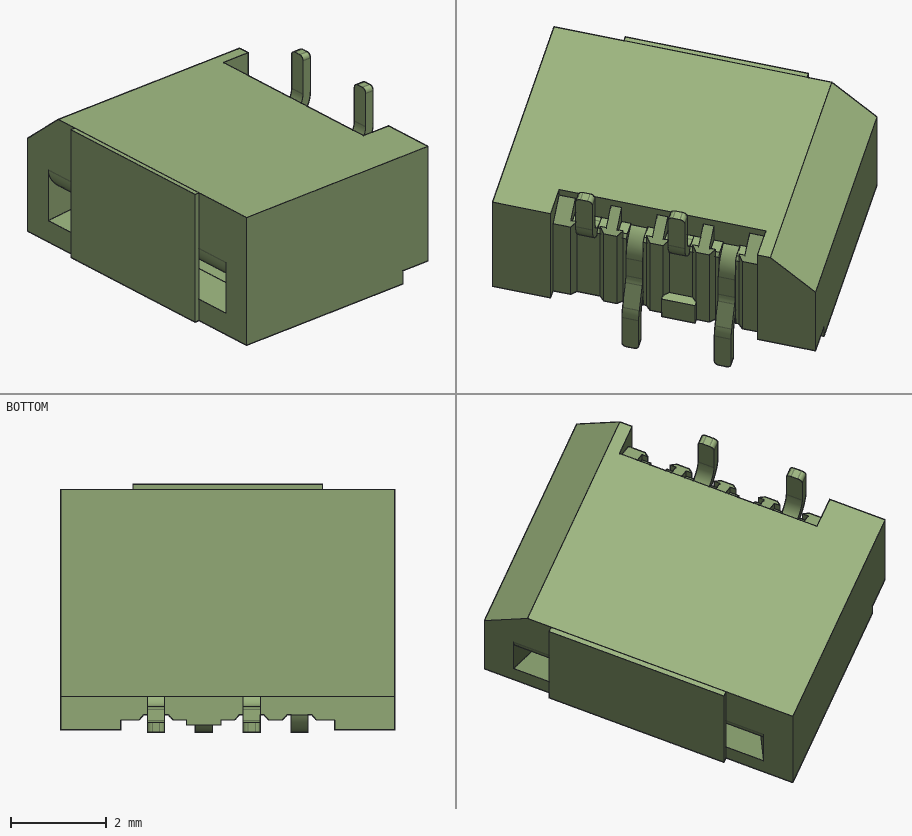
import cadquery as cq
import math


housing_width = 7.0
housing_depth = 5.03
housing_height = 3.0
corner_cut_width = 0.98
corner_cut_height = 0.82

rear_step_depth = 0.69
under_step_height = 0.31
recess_width = 4.48
recess_front_y = housing_depth - rear_step_depth
rear_wall_inset = 0.2
rear_wall_y = housing_depth - rear_wall_inset
ramp_angle = 37.0
ramp_low_z = 2.46
ramp_high_z = ramp_low_z + (rear_wall_y - recess_front_y) * math.tan(math.radians(ramp_angle))

pocket_width = 0.77
pocket_floor_z = 2.38
pocket_chamfer = 0.08
groove_mouth_width = 0.715
groove_root_width = 0.505
groove_depth = 0.11
groove_root_y = rear_wall_y - groove_depth

tab_width = 0.73
tab_protrusion = 0.105
tab_height = 0.56
tab_rear_y = rear_wall_y + tab_protrusion
tab_top_z = under_step_height + tab_height

slot_mouth_width = 5.67
slot_inner_width = 5.03
slot_mouth_bottom_z = 0.505
slot_inner_bottom_z = 0.79
slot_inner_top_z = 1.2
slot_lip_radius = 0.5
slot_flare_depth = 0.56
slot_depth = 3.01

cover_width = 3.97
cover_thickness = 0.11

pitch = 1.0
terminal_width = 0.365
terminal_thickness = 0.21
terminal_overhang = 0.055
foot_length = 0.7
tip_radius = 0.105
inner_bend_radius = 0.435
bend_radius = inner_bend_radius + terminal_thickness / 2
lead_start_y = 3.36
lead_z = pocket_floor_z - terminal_thickness / 2
foot_y = housing_depth + terminal_overhang - terminal_thickness / 2

drop_y = 4.655
joggle_angle = math.radians(24.0)
joggle_end_z = 0.21

lower_terminal_xs = [-1.5 * pitch, 0.5 * pitch]
upper_terminal_xs = [-0.5 * pitch, 1.5 * pitch]
tab_x = upper_terminal_xs[0]


def box(x, width, y_range, z_range):
    """Block centred on x, between the given Y and Z limits."""
    y0, y1 = y_range
    z0, z1 = z_range
    corner = cq.Vector(x - width / 2, y0, z0)
    return cq.Workplane(cq.Solid.makeBox(width, y1 - y0, z1 - z0, corner))


def side_prism(profile, x, width):
    """Extrude a closed YZ profile to a width centred on x."""
    return profile.extrude(width / 2, both=True).translate((x, 0, 0))


def strip(path, x):
    """Sweep the terminal's rectangular section along a YZ path that starts along +Y."""
    section = cq.Workplane("XZ", origin=(0, lead_start_y, lead_z)).rect(terminal_width, terminal_thickness)
    return section.sweep(path).translate((x, 0, 0))


def upper_terminal(x):
    """Straight lead, one quarter bend and a foot that points up."""
    bend_start_y = foot_y - bend_radius
    mid = bend_radius * math.sqrt(0.5)
    path = (
        cq.Workplane("YZ")
        .moveTo(lead_start_y, lead_z)
        .lineTo(bend_start_y, lead_z)
        .threePointArc(
            (bend_start_y + mid, lead_z + bend_radius - mid),
            (foot_y, lead_z + bend_radius),
        )
        .lineTo(foot_y, housing_height + foot_length)
    )
    return strip(path, x).faces(">Z").edges("|Y").fillet(tip_radius)


def lower_terminal(x):
    """Straight lead, a quarter bend down, a joggle to the rear and a foot that points down."""
    bend_start_y = drop_y - bend_radius
    mid = bend_radius * math.sqrt(0.5)
    shift = bend_radius * (1 - math.cos(joggle_angle))
    fall = bend_radius * math.sin(joggle_angle)
    half_shift = bend_radius * (1 - math.cos(joggle_angle / 2))
    half_fall = bend_radius * math.sin(joggle_angle / 2)
    slope_run = foot_y - drop_y - 2 * shift
    slope_fall = slope_run / math.tan(joggle_angle)
    joggle_start_z = joggle_end_z + 2 * fall + slope_fall
    path = (
        cq.Workplane("YZ")
        .moveTo(lead_start_y, lead_z)
        .lineTo(bend_start_y, lead_z)
        .threePointArc(
            (bend_start_y + mid, lead_z - bend_radius + mid),
            (drop_y, lead_z - bend_radius),
        )
        .lineTo(drop_y, joggle_start_z)
        .threePointArc(
            (drop_y + half_shift, joggle_start_z - half_fall),
            (drop_y + shift, joggle_start_z - fall),
        )
        .lineTo(foot_y - shift, joggle_end_z + fall)
        .threePointArc(
            (foot_y - half_shift, joggle_end_z + half_fall),
            (foot_y, joggle_end_z),
        )
        .lineTo(foot_y, -foot_length)
    )
    return strip(path, x).faces("<Z").edges("|Y").fillet(tip_radius)


def housing_block():
    """Block with one long top corner cut off."""
    half = housing_width / 2
    return (
        cq.Workplane("XZ")
        .moveTo(-half, 0)
        .lineTo(half, 0)
        .lineTo(half, housing_height)
        .lineTo(-half + corner_cut_width, housing_height)
        .lineTo(-half, housing_height - corner_cut_height)
        .close()
        .extrude(-housing_depth)
    )


def rear_recess():
    """Space between the cheeks: a ramp at the top, then a vertical rear wall."""
    profile = (
        cq.Workplane("YZ")
        .moveTo(recess_front_y, housing_height)
        .lineTo(recess_front_y, ramp_high_z)
        .lineTo(rear_wall_y, ramp_low_z)
        .lineTo(rear_wall_y, 0)
        .lineTo(housing_depth, 0)
        .lineTo(housing_depth, housing_height)
        .close()
    )
    return side_prism(profile, 0, recess_width)


def terminal_pocket(x):
    """Flat-floored pocket in the ramp, with its rear edge bevelled down to the groove root."""
    profile = (
        cq.Workplane("YZ")
        .moveTo(recess_front_y, housing_height)
        .lineTo(recess_front_y, pocket_floor_z)
        .lineTo(groove_root_y - pocket_chamfer, pocket_floor_z)
        .lineTo(groove_root_y, pocket_floor_z - pocket_chamfer)
        .lineTo(groove_root_y, housing_height)
        .close()
    )
    return side_prism(profile, x, pocket_width)


def rear_groove(x):
    """Full-height groove in the rear wall that widens to the rear."""
    return (
        cq.Workplane("XY")
        .moveTo(x - groove_root_width / 2, groove_root_y)
        .lineTo(x + groove_root_width / 2, groove_root_y)
        .lineTo(x + groove_mouth_width / 2, rear_wall_y)
        .lineTo(x - groove_mouth_width / 2, rear_wall_y)
        .close()
        .extrude(housing_height)
    )


def mating_slot():
    """Slot with flared ends and bottom, and a rounded upper lip."""
    lip_mid = slot_lip_radius * math.sqrt(0.5)
    side_profile = (
        cq.Workplane("YZ")
        .moveTo(0, slot_mouth_bottom_z)
        .lineTo(slot_flare_depth, slot_inner_bottom_z)
        .lineTo(slot_depth, slot_inner_bottom_z)
        .lineTo(slot_depth, slot_inner_top_z)
        .lineTo(slot_lip_radius, slot_inner_top_z)
        .threePointArc(
            (slot_lip_radius - lip_mid, slot_inner_top_z + slot_lip_radius - lip_mid),
            (0, slot_inner_top_z + slot_lip_radius),
        )
        .close()
    )
    plan = (
        cq.Workplane("XY")
        .moveTo(-slot_mouth_width / 2, 0)
        .lineTo(-slot_inner_width / 2, slot_flare_depth)
        .lineTo(-slot_inner_width / 2, slot_depth)
        .lineTo(slot_inner_width / 2, slot_depth)
        .lineTo(slot_inner_width / 2, slot_flare_depth)
        .lineTo(slot_mouth_width / 2, 0)
        .close()
        .extrude(housing_height)
    )
    return side_prism(side_profile, 0, slot_mouth_width).intersect(plan)


upper_terminals = [upper_terminal(x) for x in upper_terminal_xs]
lower_terminals = [lower_terminal(x) for x in lower_terminal_xs]
terminals = upper_terminals + lower_terminals

cover = box(0, cover_width, (-cover_thickness, 0), (0, housing_height))

housing = housing_block().cut(mating_slot()).cut(rear_recess())
under_step = box(0, housing_width, (recess_front_y, housing_depth), (0, under_step_height))
housing = housing.cut(under_step)
for x in upper_terminal_xs + lower_terminal_xs:
    housing = housing.cut(terminal_pocket(x)).cut(rear_groove(x))
tab = box(tab_x, tab_width, (groove_root_y, tab_rear_y), (under_step_height, tab_top_z))
housing = housing.union(tab)
for x in lower_terminal_xs:
    channel = box(x, terminal_width, (recess_front_y, rear_wall_y), (0, pocket_floor_z))
    housing = housing.cut(channel)
for terminal in terminals:
    housing = housing.cut(terminal)

result = cq.Compound.makeCompound([housing.val(), cover.val(), *[terminal.val() for terminal in terminals]])